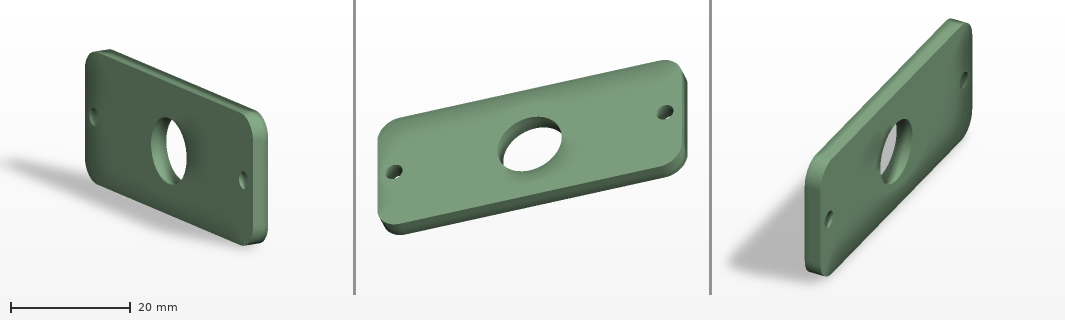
import cadquery as cq

plate_length = 53.93
plate_height = 22.93
plate_thickness = 3.0
corner_radius = 4.0

opening_diameter = 11.4
opening_drop = 0.4

mounting_hole_diameter = 3.0
mounting_hole_spacing = 48.0


def rounded_plate():
    """Flat plate centred on the origin, with its four corners rounded."""
    plate = cq.Workplane("XY").box(plate_length, plate_thickness, plate_height)
    return plate.edges("|Y").fillet(corner_radius)


def through_cutter(diameter, x, z):
    """Cylinder along Y at (x, z), reaching past both faces of the plate."""
    start = cq.Workplane("XZ", origin=(x, plate_thickness, z))
    return start.circle(diameter / 2).extrude(2 * plate_thickness)


result = rounded_plate()
result = result.cut(through_cutter(opening_diameter, 0, -opening_drop))
for side in (-1, 1):
    hole_x = side * mounting_hole_spacing / 2
    result = result.cut(through_cutter(mounting_hole_diameter, hole_x, 0))